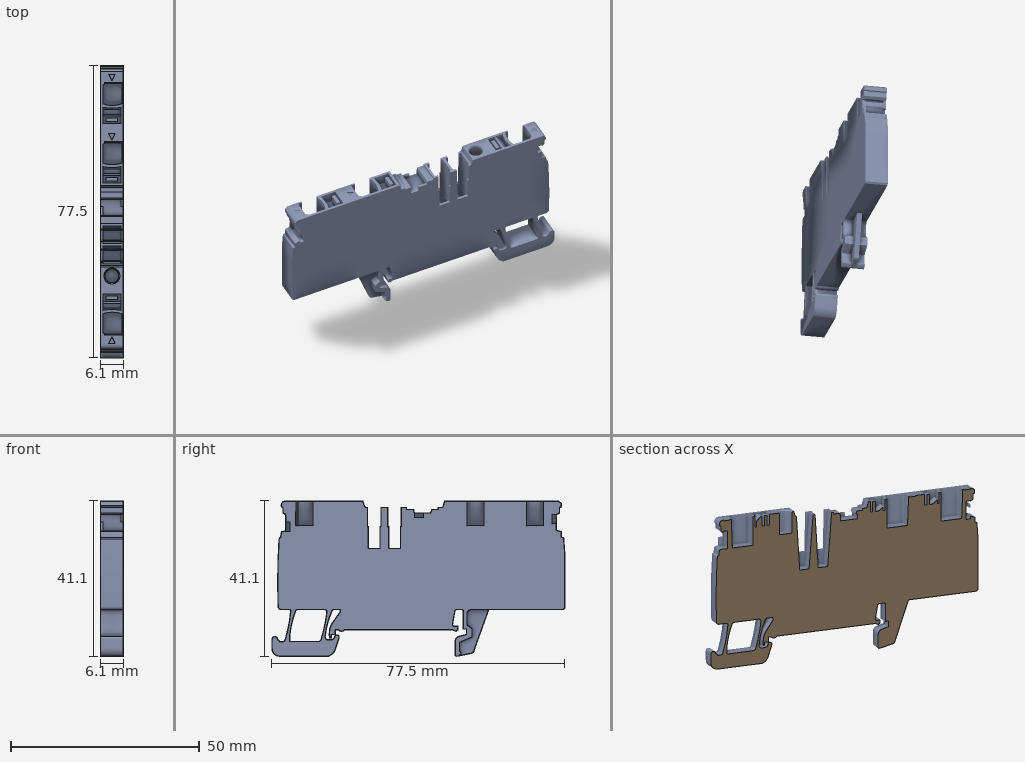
import cadquery as cq

WIDTH = 6.1
LENGTH = 77.54
HEIGHT = 41.1
WALL = 0.65
MID_X = WIDTH / 2

LATCH_RECESS = 2.4
BODY_BOTTOM = 12.35
RAIL_SEAT = 7.0
TERRACE_TOP = 39.4
SLOT_FLOOR = 28.6
SLOT_STEP = 34.3
SLOT_STEP_WIDTH = 0.24
FLARE_FLOOR = 24.6
FLARE_LOW = (-0.37, 0.57)
FLARE_HIGH = (0.8, -0.37)
OVERSHOOT = 1.0

JUMPER_SLOTS = ((30.69, 34.21), (25.3, 28.82))

CLAMP_PITCH = 15.7
OUTER_CLAMP = 72.7
LAST_CLAMP = 6.35
PLUS_Y_RAMP = (1.9, 2.9)
MINUS_Y_RAMP = (1.5, 0.3)
CLAMPS = (
    (OUTER_CLAMP, -1, PLUS_Y_RAMP),
    (OUTER_CLAMP - CLAMP_PITCH, -1, PLUS_Y_RAMP),
    (LAST_CLAMP, 1, MINUS_Y_RAMP),
)

WIRE_LENGTH = 5.35
WIRE_BULGE = 0.45
WIRE_DEPTH = 8.0
WIRE_DRAFT = 0.3
WIRE_CORNER = 0.5
WIRE_OUTER_WALL = 0.4
WINDOW_DEPTH = 6.5
WINDOW_STUB = 0.85

DRIVER_START = 6.3
DRIVER_END = 10.65
DRIVER_BULGE = 0.25
DRIVER_DEPTH = 3.0
RAMP_START = 6.9
RAMP_SLOPE_END = 8.15
RAMP_END = 8.65
LUG = (9.15, 10.1)
LUG_WIDTH = 3.05
LUG_DEPTH = 0.2

TEST_HOLE_Y = 21.75
TEST_HOLE_DIAMETER = 3.6
TEST_HOLE_CHAMFER = 0.3
TEST_HOLE_DEPTH = 6.0

ARROW_WIDTH = 1.7
ARROW_LENGTH = 1.7
ARROW_GAP = 0.75
ARROW_DEPTH = 0.2

TOP_GROOVE = ((37.7, 42.45), (36.75, 38.0))
PLUS_Y_GROOVE = ((74.1, 75.3), (32.7, 37.6))
MINUS_Y_GROOVE = ((3.6, 4.8), (33.1, 37.9))


def outline(start, segments):
    """Closed Y-Z outline; a pair of numbers is a line end, a pair of points is an arc."""
    path = cq.Workplane("YZ").moveTo(*start)
    for segment in segments:
        if isinstance(segment[0], tuple):
            path = path.threePointArc(*segment)
        else:
            path = path.lineTo(*segment)
    return path.close()


def box(x_limits, y_limits, z_limits):
    (x0, x1), (y0, y1), (z0, z1) = x_limits, sorted(y_limits), z_limits
    return cq.Workplane("XY").box(x1 - x0, y1 - y0, z1 - z0, centered=False).translate((x0, y0, z0))


def housing():
    """Full-width plate: terrace, end steps, latch, rail hooks and locking foot."""
    segments = [
        (45.7, HEIGHT), (45.2, TERRACE_TOP), (44.0, TERRACE_TOP), (44.0, 38.9),
        (42.35, 38.9), (42.0, 38.0), (37.7, 38.0), (37.5, 38.9), (35.65, 38.9),
        (35.65, TERRACE_TOP), (24.95, TERRACE_TOP), (24.5, 39.7), (24.1, HEIGHT),
        (3.5, HEIGHT), ((2.85, 40.85), (2.55, 40.3)), (2.4, 39.9), (2.55, 39.5), (2.9, 39.4),
        (2.9, 38.0), (3.6, 37.5), (3.6, 33.2), (2.5, 33.0), (2.25, 31.5), (1.85, 31.1),
        ((1.5, 22.0), (1.6, 13.2)), ((1.83, 12.6), (2.4, BODY_BOTTOM)),
        (4.6, BODY_BOTTOM), ((4.86, 12.2), (4.92, 11.9)), ((4.5, 8.7), (3.5, 4.5)),
        ((3.3, 4.1), (2.9, 3.9)), (2.1, 3.9), (1.6, 4.4), (1.5, 4.6), ((0.8, 5.2), (0.0, 4.4)),
        (0.0, 2.0), ((0.59, 0.59), (2.0, 0.0)), (14.9, 0.0), ((16.2, 0.85), (16.9, 2.2)),
        (17.8, 4.9), ((17.3, 5.65), (16.64, 5.4)), ((16.3, 4.65), (15.7, 4.4)),
        (14.6, 4.4), ((14.2, 4.7), (14.1, 5.2)),
        ((14.85, 9.2), (15.95, 12.1)), (16.2, BODY_BOTTOM), (18.05, BODY_BOTTOM), (18.05, 11.7),
        (15.8, 8.6), ((15.3, 7.2), (15.2, 4.9)), (15.7, 4.9), (15.7, 5.75), (16.8, 5.75),
        (16.8, RAIL_SEAT), (17.6, RAIL_SEAT), ((18.4, 6.6), (19.2, RAIL_SEAT)),
        (47.7, RAIL_SEAT), (48.7, 6.6), (49.2, 7.0), (49.2, 7.95), (48.0, 7.95), (47.8, 8.3),
        (48.45, 12.0), ((48.6, 12.25), (48.9, BODY_BOTTOM)), (50.2, BODY_BOTTOM),
        ((50.5, 12.25), (50.6, 12.0)),
        (50.6, 7.2), (51.5, 7.2), (51.5, 5.8), (49.6, 5.3), ((48.8, 4.8), (48.5, 3.8)),
        (48.5, 0.25), (48.75, 0.0), (49.3, 0.05), (50.1, 0.7), (49.7, 1.4), (49.7, 3.7),
        (53.0, 5.1), (53.0, 7.3), (51.6, 8.3), (51.6, 11.1), ((51.95, 12.0), (52.9, BODY_BOTTOM)),
        (77.1, BODY_BOTTOM), (LENGTH, 12.8), (LENGTH, 27.5), (77.25, 31.4), (76.65, 31.5),
        (76.65, 33.0), (75.9, 33.2), (75.3, 33.4), (75.3, 35.5), (75.4, 36.0), (75.2, 37.4),
        (76.15, 38.0), (76.15, 39.4), (76.6, 39.5), (76.6, 40.5),
    ]
    return outline((75.85, HEIGHT), segments).extrude(WIDTH)


def foot_window():
    """Opening between the two legs of the locking foot."""
    segments = [
        (6.6, BODY_BOTTOM), (6.3, 12.1), ((5.4, 9.3), (4.75, 5.8)), (4.75, 3.95),
        (12.6, 3.95), (12.95, 4.3), ((13.95, 8.3), (14.53, 11.9)),
    ]
    return outline((14.2, BODY_BOTTOM), segments).extrude(WIDTH)


def latch_web():
    """Thin stiffening wedge behind the latch, rooted in the housing and the latch arm."""
    segments = [
        (53.5, 1.5), ((53.2, 0.95), (52.7, 0.75)), (49.3, 0.05), (49.2, 4.2),
        (52.2, 5.4), (52.2, 7.4), (51.0, 8.3), (51.0, 12.6), (57.4, 12.6),
    ]
    web = outline((57.4, BODY_BOTTOM), segments).extrude(WIDTH - 2 * LATCH_RECESS)
    return web.translate((LATCH_RECESS, 0, 0))


def jumper_slot(y_low, y_high):
    """Slot across the full width, narrower below its step and flared between the side walls."""
    floor_low = y_low + SLOT_STEP_WIDTH
    floor_high = y_high - SLOT_STEP_WIDTH
    top = TERRACE_TOP + OVERSHOOT
    through = box((0, WIDTH), (y_low, y_high), (SLOT_STEP, top))
    through = through.union(box((0, WIDTH), (floor_low, floor_high), (SLOT_FLOOR, top)))
    flare_points = [
        (y_high + FLARE_HIGH[1], FLARE_FLOOR),
        (y_high + FLARE_HIGH[0], TERRACE_TOP),
        (y_low + FLARE_LOW[0], TERRACE_TOP),
    ]
    flare = outline((y_low + FLARE_LOW[1], FLARE_FLOOR), flare_points)
    flare = flare.extrude(WIDTH - 2 * WALL).translate((WALL, 0, 0))
    return through.union(flare)


def wire_pocket(y_outer, inward):
    """Rectangular entry with a curved inner end and a window through the +X side wall."""
    x_high = WIDTH - WIRE_OUTER_WALL
    y_inner = y_outer + inward * WIRE_LENGTH
    plan = (
        cq.Workplane("XY", origin=(0, 0, HEIGHT - WIRE_DEPTH))
        .moveTo(WALL + WIRE_CORNER, y_outer)
        .lineTo(x_high, y_outer)
        .lineTo(x_high, y_inner)
        .threePointArc((MID_X, y_inner + inward * WIRE_BULGE), (WALL, y_inner))
        .lineTo(WALL, y_outer + inward * WIRE_CORNER)
        .close()
    )
    draft_points = [(y_outer - inward * WIRE_DRAFT, HEIGHT), (y_outer, HEIGHT - WIRE_DEPTH)]
    draft = outline((y_outer, HEIGHT), draft_points)
    draft_x = WALL + WIRE_CORNER
    draft = draft.extrude(x_high - draft_x).translate((draft_x, 0, 0))
    window_limits = (min(y_outer, y_inner), max(y_outer, y_inner) - WINDOW_STUB)
    window = box((MID_X, WIDTH), window_limits, (HEIGHT - WINDOW_DEPTH, HEIGHT))
    return plan.extrude(WIRE_DEPTH).union(draft).union(window)


def driver_pocket(y_outer, inward, ramp_depths):
    """Screwdriver opening: a cavity that keeps a ramp and a low lug standing on its floor."""
    def station(distance):
        return y_outer + inward * distance

    x_low, x_high = WALL, WIDTH - WALL
    floor = HEIGHT - DRIVER_DEPTH
    cavity = (
        cq.Workplane("XY", origin=(0, 0, floor))
        .moveTo(x_low, station(DRIVER_END))
        .lineTo(x_high, station(DRIVER_END))
        .lineTo(x_high, station(DRIVER_START))
        .threePointArc((MID_X, station(DRIVER_START + DRIVER_BULGE)), (x_low, station(DRIVER_START)))
        .close()
        .extrude(DRIVER_DEPTH)
    )
    start_depth, end_depth = ramp_depths
    ramp_points = [
        (station(RAMP_START), HEIGHT - start_depth),
        (station(RAMP_SLOPE_END), HEIGHT - end_depth),
        (station(RAMP_END), HEIGHT - end_depth),
        (station(RAMP_END), floor),
    ]
    ramp = outline((station(RAMP_START), floor), ramp_points)
    ramp = ramp.extrude(x_high - x_low).translate((x_low, 0, 0))
    lug_x = (MID_X - LUG_WIDTH / 2, MID_X + LUG_WIDTH / 2)
    lug = box(lug_x, [station(end) for end in LUG], (floor, HEIGHT - LUG_DEPTH))
    return cavity.cut(ramp).cut(lug)


def arrow(y_outer, inward):
    """Shallow triangle pointing at the wire pocket."""
    tip = y_outer - inward * ARROW_GAP
    base = tip - inward * ARROW_LENGTH
    half = ARROW_WIDTH / 2
    points = [(MID_X, tip), (MID_X - half, base), (MID_X + half, base)]
    plan = cq.Workplane("XY", origin=(0, 0, HEIGHT - ARROW_DEPTH)).polyline(points).close()
    return plan.extrude(ARROW_DEPTH)


def marker_groove(limits, near_tab, far_tab):
    """Groove across the width, less one holding tab at each side wall."""
    y_limits, z_limits = limits
    groove = box((0, WIDTH), y_limits, z_limits)
    groove = groove.cut(box((0, WALL), *near_tab))
    return groove.cut(box((WIDTH - WALL, WIDTH), *far_tab))


def split_y(limits):
    (y0, y1), z_limits = limits
    middle = (y0 + y1) / 2
    return ((y0, middle), z_limits), ((middle, y1), z_limits)


def split_z(limits):
    y_limits, (z0, z1) = limits
    middle = (z0 + z1) / 2
    return (y_limits, (z0, middle)), (y_limits, (middle, z1))


def test_hole():
    radius = TEST_HOLE_DIAMETER / 2
    hole = cq.Workplane("XY", origin=(MID_X, TEST_HOLE_Y, HEIGHT - TEST_HOLE_DEPTH)).circle(radius)
    hole = hole.extrude(TEST_HOLE_DEPTH)
    lead_in = cq.Solid.makeCone(
        radius, radius + TEST_HOLE_CHAMFER, TEST_HOLE_CHAMFER,
        pnt=cq.Vector(MID_X, TEST_HOLE_Y, HEIGHT - TEST_HOLE_CHAMFER),
    )
    return hole.union(cq.Workplane(lead_in))


result = housing().union(latch_web()).cut(foot_window())
for slot_limits in JUMPER_SLOTS:
    result = result.cut(jumper_slot(*slot_limits))
for clamp_y, clamp_inward, clamp_ramp in CLAMPS:
    result = result.cut(wire_pocket(clamp_y, clamp_inward))
    result = result.cut(driver_pocket(clamp_y, clamp_inward, clamp_ramp))
    result = result.cut(arrow(clamp_y, clamp_inward))
result = result.cut(test_hole())

top_low, top_high = split_y(TOP_GROOVE)
result = result.cut(marker_groove(TOP_GROOVE, near_tab=top_low, far_tab=top_high))
plus_low, plus_high = split_z(PLUS_Y_GROOVE)
result = result.cut(marker_groove(PLUS_Y_GROOVE, near_tab=plus_high, far_tab=plus_low))
minus_low, minus_high = split_z(MINUS_Y_GROOVE)
result = result.cut(marker_groove(MINUS_Y_GROOVE, near_tab=minus_low, far_tab=minus_high))